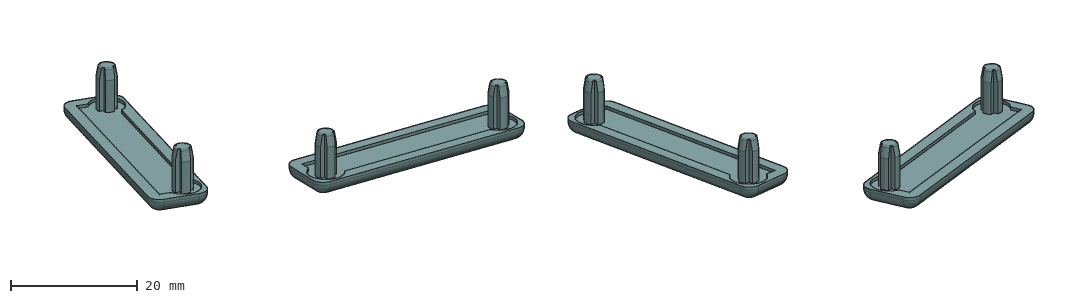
import cadquery as cq

length = 40
width = 10
height = 9.5
plate_height = 2.5
corner_radius = 2

pin_spacing = 33.0
pin_diameter = 3.4
arm_width = 1.5
taper_height = 2
taper_end_radius = 1.35
tip_rounding = 0.25

recess_depth = 0.5
recess_margin = 2
round_radius = 3.0

rim = (length - pin_spacing) / 2 - round_radius
pin_y = width / 2 - rim - round_radius
pin_centers = [(-pin_spacing / 2, pin_y), (pin_spacing / 2, pin_y)]
floor_z = plate_height - recess_depth


def make_plate():
    """Bar with rounded corners and a fully rounded underside edge."""
    block = cq.Workplane("XY").box(length, width, plate_height, centered=(True, True, False))
    return block.edges("|Z").fillet(corner_radius).faces("<Z").edges().fillet(corner_radius)


def make_recess():
    """Rectangular pocket joined to a round pocket about each pin."""
    floor = cq.Workplane("XY").workplane(offset=floor_z)
    pocket = floor.rect(length - 2 * recess_margin, width - 2 * recess_margin).extrude(recess_depth)
    rounds = floor.pushPoints(pin_centers).circle(round_radius).extrude(recess_depth)
    return pocket.union(rounds)


def make_pin():
    """Cross-shaped pin with a tapered end and a rounded tip, standing on the recess floor."""
    pin_radius = pin_diameter / 2
    pin_height = height - floor_z
    envelope = (
        cq.Workplane("XZ")
        .lineTo(pin_radius, 0)
        .lineTo(pin_radius, pin_height - taper_height)
        .lineTo(taper_end_radius, pin_height)
        .lineTo(0, pin_height)
        .close()
        .revolve(360, (0, 0), (0, 1))
        .faces(">Z")
        .edges()
        .fillet(tip_rounding)
    )
    arm_x = cq.Workplane("XY").box(pin_diameter, arm_width, pin_height, centered=(True, True, False))
    arm_y = arm_x.rotate((0, 0, 0), (0, 0, 1), 90)
    return envelope.intersect(arm_x.union(arm_y)).translate((0, 0, floor_z))


result = make_plate().cut(make_recess())
for x, y in pin_centers:
    result = result.union(make_pin().translate((x, y, 0)))